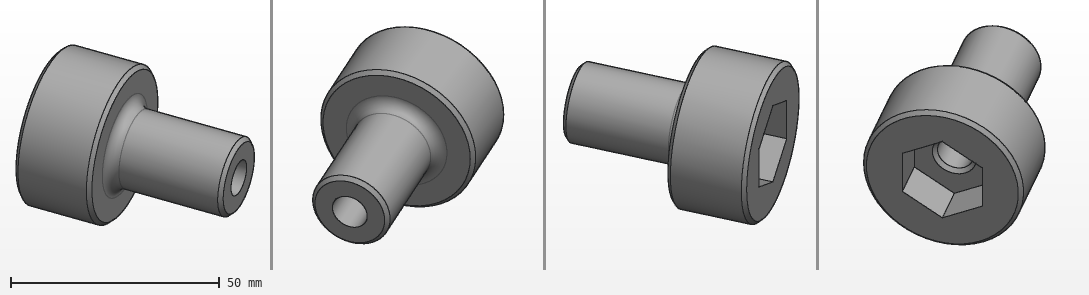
import cadquery as cq
import math

head_diameter = 40.0
head_length = 20.0
shank_diameter = 20.0
shank_length = 30.0
edge_chamfer = 1.0
neck_radius = 3.0

socket_across_flats = 20.0
socket_depth = 10.0
bore_diameter = 9.0
bore_chamfer = 1.0

total_length = head_length + shank_length


def make_body():
    """Head and shank as one turned profile, revolved about the X axis."""
    head_r = head_diameter / 2
    shank_r = shank_diameter / 2
    neck_mid_offset = neck_radius * (1 - math.sqrt(0.5))
    profile = (
        cq.Workplane("XY")
        .lineTo(0, head_r - edge_chamfer)
        .lineTo(edge_chamfer, head_r)
        .lineTo(head_length - edge_chamfer, head_r)
        .lineTo(head_length, head_r - edge_chamfer)
        .lineTo(head_length, shank_r + neck_radius)
        .threePointArc(
            (head_length + neck_mid_offset, shank_r + neck_mid_offset),
            (head_length + neck_radius, shank_r),
        )
        .lineTo(total_length - edge_chamfer, shank_r)
        .lineTo(total_length, shank_r - edge_chamfer)
        .lineTo(total_length, 0)
        .close()
    )
    return profile.revolve(360, (0, 0, 0), (1, 0, 0))


def make_socket():
    """Hexagonal pocket with two flats facing +Y and -Y."""
    across_corners = socket_across_flats / math.cos(math.pi / 6)
    hexagon = cq.Workplane("YZ").transformed(rotate=(0, 0, 90)).polygon(6, across_corners)
    return hexagon.extrude(socket_depth)


def make_bore():
    """Through bore with a chamfered mouth at the socket floor."""
    bore_r = bore_diameter / 2
    profile = (
        cq.Workplane("XY")
        .moveTo(socket_depth, 0)
        .lineTo(socket_depth, bore_r + bore_chamfer)
        .lineTo(socket_depth + bore_chamfer, bore_r)
        .lineTo(total_length, bore_r)
        .lineTo(total_length, 0)
        .close()
    )
    return profile.revolve(360, (0, 0, 0), (1, 0, 0))


result = make_body().cut(make_socket()).cut(make_bore())